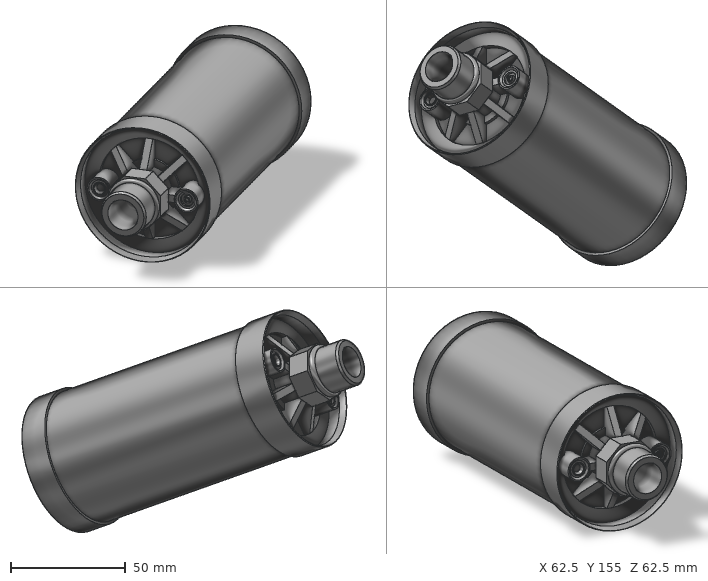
import cadquery as cq
import math

REAR_Y = 77.5
FRONT_Y = -77.5

TUBE_DIA = 60.0
TUBE_BORE = 54.2

CAP_DIA = 62.5
SEAT_DEPTH = 1.5
REAR_CAP_LENGTH = 12.9
REAR_CAP_FRONT_Y = REAR_Y - REAR_CAP_LENGTH
REAR_CAP_FILLET = 1.2
FRONT_CAP_REAR_Y = -37.7
RIM_Y = -52.7

LIP_DIA = 61.8
LIP_CHAMFER_LENGTH = 0.5
RECESS_DIA = 59.5
RECESS_TAPER_END_Y = -49.6
FACE_Y = -44.0
POCKET_DIA = 46.8
POCKET_DEPTH = 2.8
POCKET_FLOOR_Y = FACE_Y + POCKET_DEPTH
HUB_DIA = 20.0
HUB_END_Y = RIM_Y
COLLAR_DIA = 26.8
COLLAR_HEIGHT = 1.4
RIB_COUNT = 8
RIB_WIDTH = 3.4
RIB_SLOPE_DEG = 33.0
STRAIGHT_RIB_END_Y = -52.1

BOSS_OFFSET = 20.2
BOSS_DIA = 11.0
BOSS_END_Y = -52.4
BOSS_MOUTH_DIA = 9.6
BOSS_HOLE_DIA = 7.8
BOSS_MOUTH_DEPTH = 1.0
BOSS_HOLE_DEPTH = 4.6
BOSS_SEAT_Y = BOSS_END_Y + BOSS_MOUTH_DEPTH
BOSS_HOLE_BOTTOM_Y = BOSS_END_Y + BOSS_HOLE_DEPTH

PLUG_LIP_DIA = 5.9
PLUG_LIP_HEIGHT = 0.5
PLUG_SOCKET_DIA = 5.0
PLUG_SOCKET_FLOOR_DIA = 3.5
PLUG_SOCKET_DEPTH = 1.9

SLEEVE_BORE = 5.9
PIN_HEAD_DIA = 3.5
PIN_TIP_DIA = 3.0
PIN_DIMPLE_DIA = 1.7
PIN_TIP_LENGTH = 1.0
PIN_SHOULDER_DEPTH = 1.2
PIN_DIMPLE_DEPTH = 0.5

OCTAGON_SIDES = 8
OCTAGON_FLATS = 24.0
OCTAGON_END_Y = -62.5
NECK_DIA = 18.0
RING_SECTION = 3.0
SPIGOT_DIA = 21.0
SPIGOT_TIP_DIA = 19.4
SPIGOT_CHAMFER_LENGTH = 1.1
BORE_DIA = 14.0
BORE_END_FILLET = 1.9
BORE_DEPTH = 23.2


def cylinder(dia, y_from, y_to, x=0.0):
    """Solid cylinder parallel to Y, standing between two Y positions."""
    return (
        cq.Workplane("XZ", origin=(x, y_from, 0))
        .circle(dia / 2)
        .extrude(y_from - y_to)
    )


def revolved(profile):
    """Solid made by turning a closed (radius, Y) outline about the Y axis."""
    return cq.Workplane("XY").polyline(profile).close().revolve(360, (0, 0, 0), (0, 1, 0))


def cone(dia_from, y_from, dia_to, y_to, x=0.0):
    """Frustum parallel to Y with the given diameter at each end."""
    profile = [(0, y_from), (dia_from / 2, y_from), (dia_to / 2, y_to), (0, y_to)]
    return revolved(profile).translate((x, 0, 0))


def make_tube():
    tube = cylinder(TUBE_DIA, REAR_CAP_FRONT_Y + SEAT_DEPTH, FRONT_CAP_REAR_Y - SEAT_DEPTH)
    bore = cylinder(TUBE_BORE, REAR_Y, FRONT_Y)
    return tube.cut(bore)


def make_rear_cap():
    cap = cylinder(CAP_DIA, REAR_Y, REAR_CAP_FRONT_Y).faces(">Y").fillet(REAR_CAP_FILLET)
    seat = cylinder(TUBE_DIA, REAR_CAP_FRONT_Y + SEAT_DEPTH, REAR_CAP_FRONT_Y)
    return cap.cut(seat)


def make_sloped_rib(angle):
    """Radial rib standing on the pocket floor and rising from the pocket rim to the hub."""
    outer = POCKET_DIA / 2
    rise = outer * math.tan(math.radians(RIB_SLOPE_DEG))
    profile = [(0, POCKET_FLOOR_Y), (outer, POCKET_FLOOR_Y), (outer, FACE_Y), (0, FACE_Y - rise)]
    rib = (
        cq.Workplane("XY", origin=(0, 0, -RIB_WIDTH / 2))
        .polyline(profile)
        .close()
        .extrude(RIB_WIDTH)
    )
    return rib.rotate((0, 0, 0), (0, 1, 0), angle)


def make_straight_ribs():
    """Pair of flat-topped ribs in one bar, joining the hub to the bosses on both sides."""
    height = POCKET_FLOOR_Y - STRAIGHT_RIB_END_Y
    bar = cq.Workplane("XY").box(2 * BOSS_OFFSET, height, RIB_WIDTH)
    return bar.translate((0, STRAIGHT_RIB_END_Y + height / 2, 0))


def make_front_cap():
    profile = [
        (0, FRONT_CAP_REAR_Y - SEAT_DEPTH),
        (TUBE_DIA / 2, FRONT_CAP_REAR_Y - SEAT_DEPTH),
        (TUBE_DIA / 2, FRONT_CAP_REAR_Y),
        (CAP_DIA / 2, FRONT_CAP_REAR_Y),
        (CAP_DIA / 2, RIM_Y + LIP_CHAMFER_LENGTH),
        (LIP_DIA / 2, RIM_Y),
        (RECESS_DIA / 2, RECESS_TAPER_END_Y),
        (RECESS_DIA / 2, FACE_Y),
        (POCKET_DIA / 2, FACE_Y),
        (POCKET_DIA / 2, POCKET_FLOOR_Y),
        (0, POCKET_FLOOR_Y),
    ]
    cap = revolved(profile)
    for index in range(RIB_COUNT):
        points_at_boss = index % (RIB_COUNT // 2) == 0
        if not points_at_boss:
            cap = cap.union(make_sloped_rib(index * 360 / RIB_COUNT))
    cap = cap.union(make_straight_ribs())
    cap = cap.union(cylinder(COLLAR_DIA, POCKET_FLOOR_Y, POCKET_FLOOR_Y - COLLAR_HEIGHT))
    cap = cap.cut(cylinder(COLLAR_DIA, HUB_END_Y, FRONT_Y))
    cap = cap.union(cylinder(HUB_DIA, POCKET_FLOOR_Y, HUB_END_Y))
    for x in (-BOSS_OFFSET, BOSS_OFFSET):
        cap = cap.union(cylinder(BOSS_DIA, POCKET_FLOOR_Y, BOSS_END_Y, x))
        cap = cap.cut(cone(BOSS_HOLE_DIA, BOSS_SEAT_Y, BOSS_MOUTH_DIA, BOSS_END_Y, x))
        cap = cap.cut(cylinder(BOSS_HOLE_DIA, BOSS_HOLE_BOTTOM_Y, BOSS_END_Y, x))
    return cap


def make_connector():
    octagon_corners = OCTAGON_FLATS / math.cos(math.pi / OCTAGON_SIDES)
    body = (
        cq.Workplane("XZ", origin=(0, HUB_END_Y, 0))
        .transformed(rotate=(0, 0, 180 / OCTAGON_SIDES))
        .polygon(OCTAGON_SIDES, octagon_corners)
        .extrude(HUB_END_Y - OCTAGON_END_Y)
    )
    spigot_y = OCTAGON_END_Y - RING_SECTION
    tip_y = FRONT_Y + SPIGOT_CHAMFER_LENGTH
    body = body.union(cylinder(NECK_DIA, OCTAGON_END_Y, spigot_y))
    body = body.union(cylinder(SPIGOT_DIA, spigot_y, tip_y))
    body = body.union(cone(SPIGOT_DIA, tip_y, SPIGOT_TIP_DIA, FRONT_Y))
    bore = cylinder(BORE_DIA, FRONT_Y + BORE_DEPTH, FRONT_Y)
    bore = bore.faces(">Y").edges().fillet(BORE_END_FILLET)
    return body.cut(bore)


def make_sealing_ring():
    centre_radius = (NECK_DIA + RING_SECTION) / 2
    centre_y = OCTAGON_END_Y - RING_SECTION / 2
    ring = cq.Solid.makeTorus(centre_radius, RING_SECTION / 2, dir=cq.Vector(0, 1, 0))
    return cq.Workplane(ring).translate((0, centre_y, 0))


def make_plug():
    x = -BOSS_OFFSET
    front = BOSS_SEAT_Y - PLUG_LIP_HEIGHT
    plug = cylinder(BOSS_HOLE_DIA, BOSS_HOLE_BOTTOM_Y, BOSS_SEAT_Y, x)
    plug = plug.union(cylinder(PLUG_LIP_DIA, BOSS_SEAT_Y, front, x))
    socket_floor = front + PLUG_SOCKET_DEPTH
    return plug.cut(cone(PLUG_SOCKET_FLOOR_DIA, socket_floor, PLUG_SOCKET_DIA, front, x))


def make_sleeve():
    sleeve = cylinder(BOSS_HOLE_DIA, BOSS_HOLE_BOTTOM_Y, BOSS_SEAT_Y, BOSS_OFFSET)
    return sleeve.cut(cylinder(SLEEVE_BORE, BOSS_HOLE_BOTTOM_Y, BOSS_SEAT_Y, BOSS_OFFSET))


def make_pin():
    shoulder = BOSS_SEAT_Y + PIN_SHOULDER_DEPTH
    tip = shoulder - PIN_TIP_LENGTH
    pin = cylinder(SLEEVE_BORE, BOSS_HOLE_BOTTOM_Y, shoulder, BOSS_OFFSET)
    pin = pin.union(cone(PIN_HEAD_DIA, shoulder, PIN_TIP_DIA, tip, BOSS_OFFSET))
    return pin.cut(cylinder(PIN_DIMPLE_DIA, tip + PIN_DIMPLE_DEPTH, tip, BOSS_OFFSET))


bodies = [
    make_tube(),
    make_rear_cap(),
    make_front_cap(),
    make_connector(),
    make_sealing_ring(),
    make_plug(),
    make_sleeve(),
    make_pin(),
]
result = cq.Compound.makeCompound([body.val() for body in bodies])